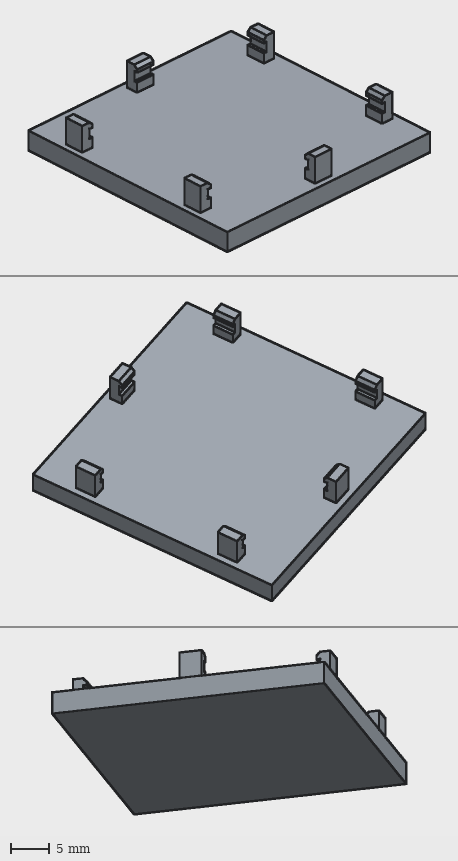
import cadquery as cq

plate_side = 37.0
plate_thickness = 3.0

total_height = 7.0
clip_height = total_height - plate_thickness
clip_width = 3.0
clip_depth = 1.9
clip_inset = 1.0
clip_offset = 11.0
notch_depth = 0.5
notch_bottom = 1.5
notch_top = 3.0
chamfer = 0.5


def make_plate():
    return cq.Workplane("XY").box(
        plate_side, plate_side, plate_thickness, centered=(True, True, False)
    )


def make_clip(sideways):
    """Clip along the -Y edge, centred at X = sideways, with its notch facing +Y."""
    back = -plate_side / 2 + clip_inset
    front = back + clip_depth
    neck = front - notch_depth
    profile = [
        (back, 0),
        (front, 0),
        (front, notch_bottom),
        (neck, notch_bottom),
        (neck, notch_top),
        (front, notch_top),
        (front, clip_height - chamfer),
        (front - chamfer, clip_height),
        (back, clip_height),
    ]
    return (
        cq.Workplane("YZ")
        .polyline(profile)
        .close()
        .extrude(clip_width / 2, both=True)
        .translate((sideways, 0, plate_thickness))
    )


edge_clips = [
    (0, (-clip_offset, clip_offset)),
    (90, (0,)),
    (180, (-clip_offset, clip_offset)),
    (270, (0,)),
]

result = make_plate()
for turn, positions in edge_clips:
    for position in positions:
        clip = make_clip(position).rotate((0, 0, 0), (0, 0, 1), turn)
        result = result.union(clip)